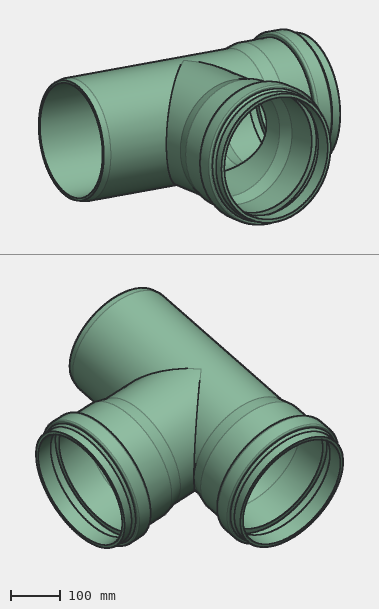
import cadquery as cq
import math

run_length = 553.5
branch_length = 324.5
branch_height = 266.0
branch_tilt = 2.5

pipe_radius = 125.5
bore_radius = 234.0 / 2
spigot_end_radius = 122.5
spigot_chamfer_length = 14.0

socket_length = 156.0
flare_length = 30.0
socket_radius = 267.0 / 2
wall = 7.0
socket_bore_radius = socket_radius - wall

bead_radius = 289.0 / 2
bead_start = 93.0
bead_end = 130.0
bead_rear_fillet = 5.0
bead_front_fillet = 3.5
shoulder_radius = 274.5 / 2
shoulder_end = 137.0
groove_radius = bead_radius - wall
groove_start = bead_start + wall
groove_end = bead_end - wall

clearance = 5.5


def corner_arc_middle(radius, station, fillet, direction):
    """Middle point of a rounded bead corner whose arc runs into the bead from the given face."""
    inset = fillet * (1 - math.sqrt(0.5))
    return (radius - inset, station + direction * inset)


def revolve_about_run(profile):
    return profile.close().revolve(360, (0, 0), (0, 1))


def outer_body(length, start_radius, chamfer_length):
    """Solid pipe with a beaded socket at its far end, along +Y from the origin."""
    foot = length - socket_length
    rear = foot + bead_start
    front = foot + bead_end
    profile = (
        cq.Workplane("XY")
        .lineTo(start_radius, 0)
        .lineTo(pipe_radius, chamfer_length)
        .lineTo(pipe_radius, foot)
        .lineTo(socket_radius, foot + flare_length)
        .lineTo(socket_radius, rear)
        .lineTo(bead_radius - bead_rear_fillet, rear)
        .threePointArc(
            corner_arc_middle(bead_radius, rear, bead_rear_fillet, 1),
            (bead_radius, rear + bead_rear_fillet),
        )
        .lineTo(bead_radius, front - bead_front_fillet)
        .threePointArc(
            corner_arc_middle(bead_radius, front, bead_front_fillet, -1),
            (bead_radius - bead_front_fillet, front),
        )
        .lineTo(shoulder_radius, front)
        .lineTo(socket_radius, foot + shoulder_end)
        .lineTo(socket_radius, length)
        .lineTo(0, length)
    )
    return revolve_about_run(profile)


def inner_bore(length, start):
    """Bore along +Y with the wider socket and the seal groove inside the bead."""
    foot = length - socket_length
    profile = (
        cq.Workplane("XY")
        .moveTo(0, start)
        .lineTo(bore_radius, start)
        .lineTo(bore_radius, foot)
        .lineTo(socket_bore_radius, foot + flare_length)
        .lineTo(socket_bore_radius, foot + groove_start)
        .lineTo(groove_radius, foot + groove_start)
        .lineTo(groove_radius, foot + groove_end)
        .lineTo(socket_bore_radius, foot + groove_end)
        .lineTo(socket_bore_radius, length + clearance)
        .lineTo(0, length + clearance)
    )
    return revolve_about_run(profile)


def place_branch(shape):
    """Swing a shape from the run direction to the branch direction."""
    swing = branch_tilt - 90
    return shape.rotate((0, 0, 0), (0, 0, 1), swing).translate((0, branch_height, 0))


run = outer_body(run_length, spigot_end_radius, spigot_chamfer_length)
branch = place_branch(outer_body(branch_length, pipe_radius, spigot_chamfer_length))
bores = inner_bore(run_length, -clearance).union(place_branch(inner_bore(branch_length, 0)))

result = run.union(branch).cut(bores)